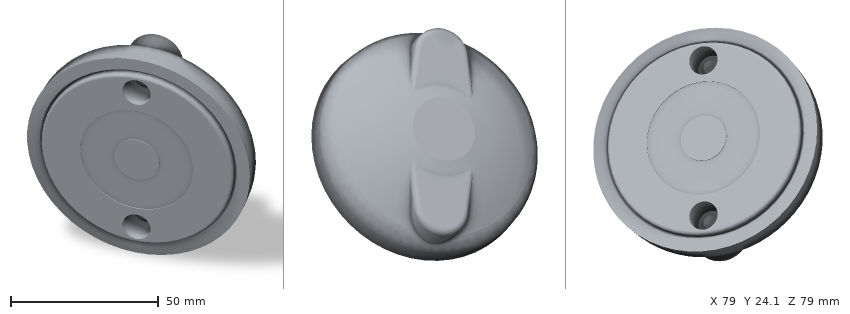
import cadquery as cq
import math


pad_radius = 34.0
pad_protrusion = 2.0
pad_fillet = 1.0
ring_radius = 20.0
center_radius = 8.0
ring_depth = 0.3

knob_radius = 39.5
knob_height = 22.05
draft_angle = 3.0
dome_radius = 69.5
dome_flat_radius = 11.2
shoulder_fillet = 7.9
recess_depth = 8.0
mouth_radius = 35.0
mouth_chamfer = 0.5
lead_in_depth = 0.7

handle_height = 21.0
handle_end_radius = 10.3
handle_flare_angle = 8.0
handle_fillet = 2.0

stud_offset = 27.5
hole_radius = 5.0
hole_floor_radius = 4.7
stud_base_radius = 4.2
stud_tip_radius = 2.3
stud_height = 1.9

draft = math.tan(math.radians(draft_angle))
pad_thickness = recess_depth + pad_protrusion
stud_places = [-stud_offset, stud_offset]


def disc(radius, y_start, length, end_radius=None, z=0.0):
    """Round solid along +Y; a cone when the end radius differs."""
    if end_radius is None:
        end_radius = radius
    start = cq.Vector(0, y_start, z)
    direction = cq.Vector(0, 1, 0)
    if end_radius == radius:
        solid = cq.Solid.makeCylinder(radius, length, start, direction)
    else:
        solid = cq.Solid.makeCone(radius, end_radius, length, start, direction)
    return cq.Workplane(obj=solid)


def make_dome():
    """Drafted rim wall and spherical top, blended by the shoulder fillet."""
    sphere_y = knob_height - math.sqrt(dome_radius**2 - dome_flat_radius**2)

    edge_margin = 0.1

    a = 1 + draft**2
    b = -2 * (draft * knob_radius + sphere_y)
    c = knob_radius**2 + sphere_y**2 - dome_radius**2
    corner_y = (-b + math.sqrt(b**2 - 4 * a * c)) / (2 * a)
    corner_x = knob_radius - draft * corner_y

    mid_x = (corner_x + dome_flat_radius) / 2
    mid_y = sphere_y + math.sqrt(dome_radius**2 - mid_x**2)
    dome = (
        cq.Workplane("XY")
        .lineTo(knob_radius, 0)
        .lineTo(corner_x, corner_y)
        .threePointArc((mid_x, mid_y), (dome_flat_radius, knob_height))
        .lineTo(0, knob_height)
        .close()
        .revolve(360, (0, 0, 0), (0, 1, 0))
    )
    shoulder = cq.selectors.BoxSelector(
        (-knob_radius, corner_y - edge_margin, -knob_radius),
        (knob_radius, corner_y + edge_margin, knob_radius),
        boundingbox=True,
    )
    return dome.edges(shoulder).fillet(shoulder_fillet)


def make_handle():
    """Drafted grip that widens from its round ends toward the middle."""
    flare = math.radians(handle_flare_angle)
    end_z = stud_offset + handle_end_radius
    tangent_x = handle_end_radius * math.cos(flare)
    tangent_z = stud_offset + handle_end_radius * math.sin(flare)
    middle_x = tangent_x + tangent_z * math.tan(flare)
    base = cq.Plane(origin=(0, recess_depth, 0), xDir=(1, 0, 0), normal=(0, 1, 0))
    return (
        cq.Workplane(base)
        .moveTo(middle_x, 0)
        .lineTo(tangent_x, tangent_z)
        .threePointArc((0, end_z), (-tangent_x, tangent_z))
        .lineTo(-middle_x, 0)
        .lineTo(-tangent_x, -tangent_z)
        .threePointArc((0, -end_z), (tangent_x, -tangent_z))
        .close()
        .extrude(handle_height - recess_depth, taper=draft_angle)
        .faces(">Y")
        .edges()
        .fillet(handle_fillet)
    )


def make_recess():
    """Space for the pad, opened out at its mouth by two conical bands."""
    lead_in_radius = mouth_radius - mouth_chamfer
    chamfer = disc(mouth_radius, 0, mouth_chamfer, lead_in_radius)
    lead_in = disc(lead_in_radius, mouth_chamfer, lead_in_depth, pad_radius)
    return disc(pad_radius, 0, recess_depth).union(chamfer).union(lead_in)


def make_knob():
    knob = make_dome().union(make_handle()).cut(make_recess())
    for z in stud_places:
        stud = disc(stud_tip_radius, recess_depth - stud_height, stud_height, stud_base_radius, z)
        knob = knob.union(stud)
    return knob


def make_pad():
    pad = disc(pad_radius, -pad_protrusion, pad_thickness).faces("<Y").edges().fillet(pad_fillet)
    ring = disc(ring_radius, -pad_protrusion, ring_depth)
    center = disc(center_radius, -pad_protrusion, ring_depth)
    pad = pad.cut(ring.cut(center))
    for z in stud_places:
        pad = pad.cut(disc(hole_radius, -pad_protrusion, pad_thickness, hole_floor_radius, z))
    return pad


knob = make_knob()
pad = make_pad()
result = cq.Compound.makeCompound([knob.solids().val(), pad.solids().val()])